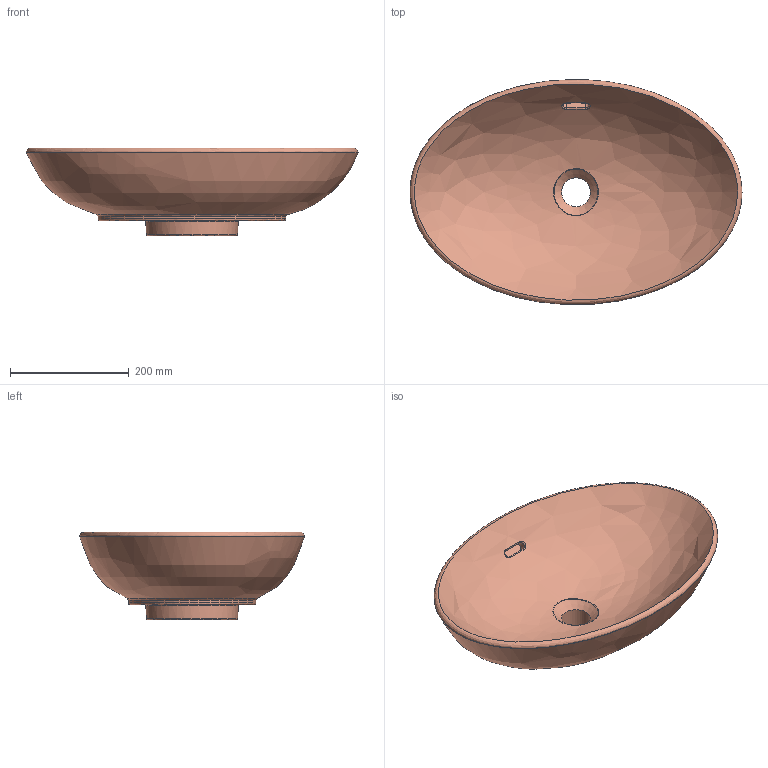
import cadquery as cq
import math

LENGTH = 560.11
WIDTH = 380.03
HEIGHT = 148.34
HALF_LENGTH = LENGTH / 2
HALF_WIDTH = WIDTH / 2
WIDTH_RATIO = WIDTH / LENGTH

RIM_BAND = 8.0
RIM_FILLET = 7.8
BELLY_RADIUS = 252.0
BELLY_HEIGHT = 91.0
BOWL_BOTTOM_RADIUS = 162.0
BOWL_BOTTOM_HEIGHT = 36.5

FOOT_RADIUS = 158.4
FOOT_TOP = 33.0
FOOT_BOTTOM = 25.7
FOOT_EDGE = 3.0

COLLAR_TOP_RADIUS = 78.8
COLLAR_BOTTOM_RADIUS = 76.5
COLLAR_FILLET = 2.0

BASIN_LOW_POINT = 45.5
BASIN_DEPTH = HEIGHT - BASIN_LOW_POINT
RIM_THICKNESS = 7.5
LENGTH_POWER = 3.15
WIDTH_POWER = 2.57
BASIN_LEVELS = (0.001, 0.01, 0.05, 0.15, 0.3, 0.5, 0.75, 1.0)

DRAIN_DIAMETER = 48.76
DRAIN_RADIUS = DRAIN_DIAMETER / 2
DRAIN_THROAT_HEIGHT = 34.0
DRAIN_MOUTH_SLOPE = math.radians(42.0)
DRAIN_MOUTH_FILLET = 1.5

SLOT_LENGTH = 44.0
SLOT_HEIGHT = 12.0
SLOT_Y = 145.4
SLOT_Z = 103.0
SLOT_TILT = math.radians(45.0)
SLOT_DEPTH = 13.0
SLOT_EDGE_FILLET = 2.0

SELECTION_MARGIN = 1.0


def edges_within(body, corner, opposite_corner):
    """Edges of the body that lie wholly inside a box."""
    return body.edges(cq.selectors.BoxSelector(corner, opposite_corner, boundingbox=True))


def elliptical_bowl():
    """Solid bowl and foot: a revolved profile squeezed along Y into an ellipse."""
    profile = (
        cq.Workplane("XZ")
        .moveTo(0, HEIGHT)
        .lineTo(HALF_LENGTH, HEIGHT)
        .lineTo(HALF_LENGTH, HEIGHT - RIM_BAND)
        .threePointArc((BELLY_RADIUS, BELLY_HEIGHT), (BOWL_BOTTOM_RADIUS, BOWL_BOTTOM_HEIGHT))
        .lineTo(FOOT_RADIUS, FOOT_TOP)
        .lineTo(FOOT_RADIUS, FOOT_BOTTOM + FOOT_EDGE)
        .radiusArc((FOOT_RADIUS - FOOT_EDGE, FOOT_BOTTOM), FOOT_EDGE)
        .lineTo(0, FOOT_BOTTOM)
        .close()
    )
    round_bowl = profile.revolve(360, (0, 0, 0), (0, 1, 0)).val()
    squeeze = cq.Matrix([[1, 0, 0, 0], [0, WIDTH_RATIO, 0, 0], [0, 0, 1, 0]])
    bowl = cq.Workplane(obj=round_bowl.transformGeometry(squeeze))
    return bowl.faces(">Z").edges().fillet(RIM_FILLET)


def add_drain_collar(body):
    """Slightly tapered round collar, rounded at its lower end and where it meets the foot."""
    collar = (
        cq.Workplane("XY")
        .circle(COLLAR_BOTTOM_RADIUS)
        .workplane(offset=FOOT_TOP)
        .circle(COLLAR_TOP_RADIUS)
        .loft()
        .faces("<Z")
        .edges()
        .fillet(COLLAR_FILLET)
    )
    body = body.union(collar)
    reach = COLLAR_TOP_RADIUS + SELECTION_MARGIN
    corner = edges_within(
        body,
        (-reach, -reach, FOOT_BOTTOM - SELECTION_MARGIN),
        (reach, reach, FOOT_BOTTOM + SELECTION_MARGIN),
    )
    return corner.fillet(COLLAR_FILLET)


def basin_section(level):
    """Ellipse of the hollow at a fraction of the basin depth above its lowest point."""
    half_length = (HALF_LENGTH - RIM_THICKNESS) * level ** (1 / LENGTH_POWER)
    half_width = (HALF_WIDTH - RIM_THICKNESS) * level ** (1 / WIDTH_POWER)
    height = BASIN_LOW_POINT + level * BASIN_DEPTH
    return cq.Workplane("XY", origin=(0, 0, height)).ellipse(half_length, half_width).wires().val()


def cut_basin(body):
    """Hollow of the bowl: a smooth loft through ellipses of growing size."""
    hollow = cq.Solid.makeLoft([basin_section(level) for level in BASIN_LEVELS])
    return body.cut(cq.Workplane(obj=hollow))


def cut_drain(body):
    """Round through hole with a conical mouth, rounded where it meets the basin."""
    cone_top_radius = DRAIN_RADIUS + (HEIGHT - DRAIN_THROAT_HEIGHT) / math.tan(DRAIN_MOUTH_SLOPE)
    drain = (
        cq.Workplane("XZ")
        .lineTo(DRAIN_RADIUS, 0)
        .lineTo(DRAIN_RADIUS, DRAIN_THROAT_HEIGHT)
        .lineTo(cone_top_radius, HEIGHT)
        .lineTo(0, HEIGHT)
        .close()
        .revolve(360, (0, 0, 0), (0, 1, 0))
    )
    body = body.cut(drain)
    reach = DRAIN_DIAMETER
    mouth = edges_within(
        body,
        (-reach, -reach, BASIN_LOW_POINT - SELECTION_MARGIN),
        (reach, reach, SLOT_Z - SLOT_HEIGHT),
    )
    return mouth.fillet(DRAIN_MOUTH_FILLET)


def cut_overflow_slot(body):
    """Blind slot with round ends and a rounded mouth."""
    facing = cq.Vector(0, -math.cos(SLOT_TILT), math.sin(SLOT_TILT))
    floor_centre = cq.Vector(0, SLOT_Y, SLOT_Z) - facing * SLOT_DEPTH
    floor_plane = cq.Plane(origin=floor_centre, xDir=(1, 0, 0), normal=facing)
    slot = cq.Workplane(floor_plane).slot2D(SLOT_LENGTH, SLOT_HEIGHT).extrude(2 * SLOT_DEPTH)
    body = body.cut(slot)
    half_length = SLOT_LENGTH / 2 + SELECTION_MARGIN
    half_height = SLOT_HEIGHT / 2
    mouth = edges_within(
        body,
        (-half_length, SLOT_Y - half_height, SLOT_Z - half_height),
        (half_length, SLOT_Y + half_height, SLOT_Z + half_height),
    )
    return mouth.fillet(SLOT_EDGE_FILLET)


bowl = elliptical_bowl()
bowl = add_drain_collar(bowl)
bowl = cut_basin(bowl)
bowl = cut_drain(bowl)
result = cut_overflow_slot(bowl)